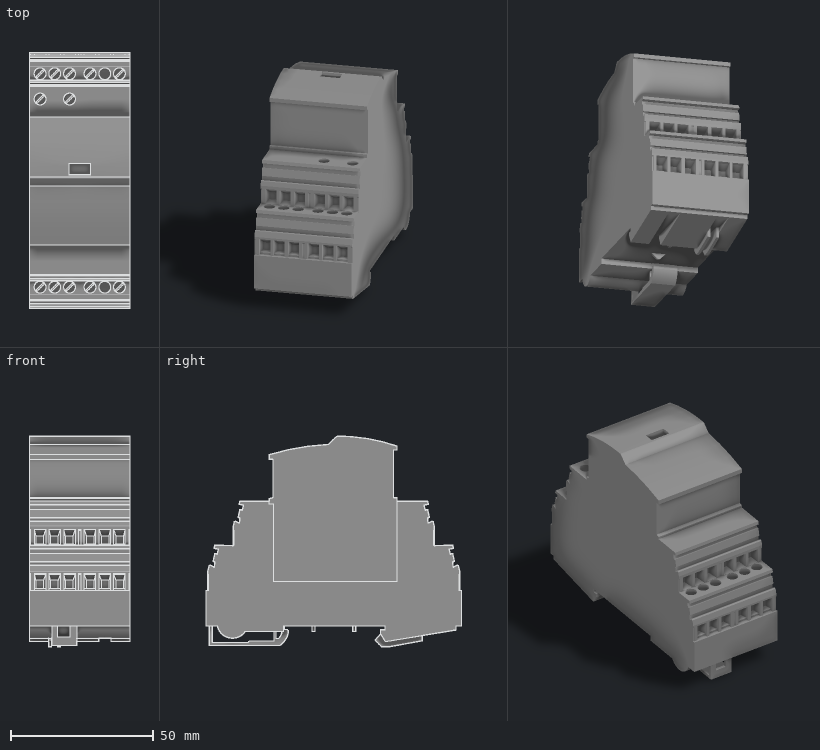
import cadquery as cq
import math

WIDTH = 35.4
HALF_LENGTH = 45.0

LOWER_TERRACE_Z = 28.4
TERRACE_RISE = 15.5
UPPER_TERRACE_Z = LOWER_TERRACE_Z + TERRACE_RISE
BASE_STEP_Z = 12.5
TERRACE_EDGE_Y = 41.85
TERRACE_SETBACK = 8.8
LOWER_WALL_Y = 44.4
UPPER_WALL_Y = 35.4
LOWER_WALL_TOP_Z = 19.2
UPPER_WALL_TOP_Z = 35.1
TERRACE_CREASE_Y = 40.05
TERRACE_FALL = 0.135

TERMINAL_XS = (3.6, 8.8, 13.95)
TERMINAL_WIDTH = 4.05
FUNNEL_END_WIDTH = 2.7
FUNNEL_END_SHIFT = 0.135
FUNNEL_DEPTH = 3.6
UPPER_ENTRY_TOP_Z = 34.0
LOWER_ENTRY_TOP_Z = 18.45
UPPER_FUNNEL_END_Z = (28.9, 31.7)
LOWER_FUNNEL_END_Z = (13.2, 16.1)
LOWER_ENTRY_DEPTH = 1.1
RECESS_TOP_FALL = 0.4
SLIT_HALF_WIDTH = 0.45
SLIT_DEPTH = 0.3

SCREW_HOLE_DIAMETER = 4.1
SCREW_HOLE_DEPTH = 4.5
LOWER_SCREW_Y = 37.5
UPPER_SCREW_Y = 28.6
UPPER_SCREW_XS = (-13.95, -3.6)
SCREW_SLOT_WIDTH = 0.5
SCREW_SLOT_DEPTH = 0.5
SCREW_SLOT_ANGLE = 45
PLAIN_SCREW_X = 8.8

FOOT_BOTTOM_Z = -2.0
FOOT_INNER_Y = -17.6
FIXED_HOOK_BACK_Y = 43.0
FIXED_HOOK_TIP_Y = 16.4
HOOK_SLOT_X = 8.8
HOOK_SLOT_WIDTH = 4.2
HOOK_SLOT_TOP_Z = -1.4
PRONG_WIDTH = 1.1
PRONG_BACK_Y = 31.1
PRONG_BOTTOM_Z = -7.3
RIB_YS = (7.2, -7.1)
RIB_WIDTH = 1.1
RIB_HEIGHT = 2.0
RIB_TIP_LENGTH = 1.1

MODULE_TOP_Z = 66.8
MODULE_BOTTOM_Z = 15.6
MODULE_BACK_Y = 22.3
MODULE_FRONT_Y = -22.7
MODULE_WAIST_BOTTOM_Z = 45.2
BODY_FRONT_Y = -21.4
BODY_BACK_Y = 21.1
STEM_FRONT_Y = -21.15
POCKET_LENGTH_X = 7.5
POCKET_BACK_Y = 5.9
POCKET_FRONT_Y = 1.9
POCKET_BOTTOM_Z = 62.1

LATCH_X_MIN = -9.8
LATCH_WIDTH = 8.8
LATCH_BOTTOM_Z = -6.9
LATCH_FRONT_Y = -43.8
LATCH_FRONT_THICKNESS = 1.2
LATCH_WINDOW_X_MIN = -7.7
LATCH_WINDOW_WIDTH = 4.2
LATCH_WINDOW_BOTTOM_Z = -3.8


def extrude_along_x(profile, x_min, width):
    """Extrude a closed (Y, Z) profile from x_min over the given width."""
    return profile.extrude(width).translate((x_min, 0, 0))


def box(x_range, y_range, z_range):
    """A box given by its limits on each axis."""
    limits = (x_range, y_range, z_range)
    sizes = [high - low for low, high in limits]
    return cq.Workplane("XY").box(*sizes, centered=False).translate([low for low, high in limits])


def grooved_edge(edge_y, top_z):
    """Points down the grooved front of a terminal step, starting at the terrace edge."""
    offsets = [
        (0.0, 0.0), (0.3, -1.2), (-1.3, -1.4), (-0.8, -3.15), (0.0, -2.9),
        (0.6, -5.8), (0.0, -5.9), (0.2, -7.7), (1.4, -7.0), (2.0, -7.2),
    ]
    return [(edge_y + dy, top_z + dz) for dy, dz in offsets]


def end_outline():
    """Points of one stepped end, from the upper terrace down to the rail seat level."""
    upper_edge_y = TERRACE_EDGE_Y - TERRACE_SETBACK
    return [
        *grooved_edge(upper_edge_y, UPPER_TERRACE_Z),
        (UPPER_WALL_Y, UPPER_WALL_TOP_Z),
        (UPPER_WALL_Y, LOWER_TERRACE_Z - TERRACE_FALL),
        (TERRACE_CREASE_Y, LOWER_TERRACE_Z),
        *grooved_edge(TERRACE_EDGE_Y, LOWER_TERRACE_Z),
        (LOWER_WALL_Y, LOWER_WALL_TOP_Z),
        (LOWER_WALL_Y, BASE_STEP_Z),
        (HALF_LENGTH, BASE_STEP_Z),
        (HALF_LENGTH, 0),
    ]


def housing_blank():
    """The housing outline, with its fixed rail hook and rounded foot, over the full width."""
    back_end = end_outline()
    front_end = [(-y, z) for y, z in reversed(back_end)]
    fixed_hook = [
        (FIXED_HOOK_BACK_Y, 0), (FIXED_HOOK_BACK_Y, HOOK_SLOT_TOP_Z), (18.2, -5.5),
        (FIXED_HOOK_TIP_Y, -2.6), (FIXED_HOOK_TIP_Y, -1.3), (18.0, -1.3), (18.0, 0),
    ]
    profile = (
        cq.Workplane("YZ")
        .polyline(back_end + fixed_hook)
        .lineTo(FOOT_INNER_Y, 0)
        .lineTo(FOOT_INNER_Y, FOOT_BOTTOM_Z)
        .lineTo(-31.1, FOOT_BOTTOM_Z)
        .threePointArc((-35.6, -4.3), (-40.95, 0))
    )
    for point in front_end:
        profile = profile.lineTo(*point)
    return extrude_along_x(profile.close(), -WIDTH / 2, WIDTH)


def funnel(side, x, wall_y, depth, mouth_z, end_z):
    """A wire entry narrowing inwards from wall_y; mouth_z and end_z are (bottom, top)."""
    end_shift = math.copysign(FUNNEL_END_SHIFT, x)
    mouth_middle = sum(mouth_z) / 2
    end_middle = sum(end_z) / 2
    inward = cq.Plane(origin=(0, side * wall_y, 0), xDir=(side, 0, 0), normal=(0, -side, 0))
    return (
        cq.Workplane(inward)
        .center(side * x, mouth_middle)
        .rect(TERMINAL_WIDTH, mouth_z[1] - mouth_z[0])
        .workplane(offset=depth)
        .center(side * end_shift, end_middle - mouth_middle)
        .rect(FUNNEL_END_WIDTH, end_z[1] - end_z[0])
        .loft(ruled=True)
    )


def wall_recess(side, x, width, depth, wall_y, bottom_z, top_z):
    """A shallow recess in an end wall whose ceiling falls inwards."""
    profile = cq.Workplane("YZ").polyline([
        (side * wall_y, bottom_z),
        (side * wall_y, top_z),
        (side * (wall_y - depth), top_z - RECESS_TOP_FALL),
        (side * (wall_y - depth), bottom_z),
    ]).close()
    return extrude_along_x(profile, x - width / 2, width)


def screw_hole(x, y, top_z):
    """A blind screw hole with a slotted bottom, or a flat one at PLAIN_SCREW_X."""
    bottom_z = top_z - SCREW_HOLE_DEPTH
    floor = cq.Workplane("XY", origin=(x, y, bottom_z))
    hole = floor.circle(SCREW_HOLE_DIAMETER / 2).extrude(SCREW_HOLE_DEPTH)
    if x == PLAIN_SCREW_X:
        return hole
    slot = (
        floor.transformed(rotate=(0, 0, SCREW_SLOT_ANGLE))
        .rect(SCREW_HOLE_DIAMETER - SCREW_SLOT_WIDTH, SCREW_SLOT_WIDTH)
        .extrude(-SCREW_SLOT_DEPTH)
    )
    return hole.union(slot)


def cut_terminals(body):
    """Cut the wire entries, dividing slits and screw holes into both ends."""
    terminal_xs = [sign * x for sign in (-1, 1) for x in TERMINAL_XS]
    slit_xs = (-WIDTH / 2, 0, WIDTH / 2)
    walls = (
        (UPPER_WALL_Y, LOWER_TERRACE_Z, UPPER_ENTRY_TOP_Z),
        (LOWER_WALL_Y, BASE_STEP_Z, LOWER_ENTRY_TOP_Z),
    )
    lower_mouth_z = (LOWER_FUNNEL_END_Z[0], LOWER_ENTRY_TOP_Z - RECESS_TOP_FALL)
    lower_mouth_y = LOWER_WALL_Y - LOWER_ENTRY_DEPTH
    lower_depth = FUNNEL_DEPTH - LOWER_ENTRY_DEPTH
    upper_mouth_z = (LOWER_TERRACE_Z, UPPER_ENTRY_TOP_Z)
    for side in (-1, 1):
        for x in terminal_xs:
            body = body.cut(funnel(side, x, UPPER_WALL_Y, FUNNEL_DEPTH, upper_mouth_z, UPPER_FUNNEL_END_Z))
            body = body.cut(wall_recess(side, x, TERMINAL_WIDTH, LOWER_ENTRY_DEPTH, *walls[1]))
            body = body.cut(funnel(side, x, lower_mouth_y, lower_depth, lower_mouth_z, LOWER_FUNNEL_END_Z))
            body = body.cut(screw_hole(x, side * LOWER_SCREW_Y, LOWER_TERRACE_Z))
        for x in slit_xs:
            for wall in walls:
                body = body.cut(wall_recess(side, x, 2 * SLIT_HALF_WIDTH, SLIT_DEPTH, *wall))
    for x in UPPER_SCREW_XS:
        body = body.cut(screw_hole(x, UPPER_SCREW_Y, UPPER_TERRACE_Z))
    return body


def hook_prong(x_min):
    """One prong of the forked hook that stands below the fixed rail hook."""
    profile = cq.Workplane("YZ").polyline([
        (PRONG_BACK_Y, HOOK_SLOT_TOP_Z), (PRONG_BACK_Y, -5.2), (19.8, PRONG_BOTTOM_Z), (16.8, PRONG_BOTTOM_Z),
        (14.5, -4.95), (FIXED_HOOK_TIP_Y, -2.9), (FIXED_HOOK_TIP_Y, HOOK_SLOT_TOP_Z),
    ]).close()
    return extrude_along_x(profile, x_min, PRONG_WIDTH)


def finish_fixed_hook(body):
    """Slot the fixed rail hook twice and set a pair of prongs in the -X slot."""
    half_width = HOOK_SLOT_WIDTH / 2
    slot_y = (FIXED_HOOK_TIP_Y, FIXED_HOOK_BACK_Y)
    slot_z = (PRONG_BOTTOM_Z, HOOK_SLOT_TOP_Z)
    for x in (-HOOK_SLOT_X, HOOK_SLOT_X):
        body = body.cut(box((x - half_width, x + half_width), slot_y, slot_z))
    for x_min in (-HOOK_SLOT_X - half_width, -HOOK_SLOT_X + half_width - PRONG_WIDTH):
        body = body.union(hook_prong(x_min))
    return body


def add_seat_ribs(body):
    """Add the small ribs with sloping ends under the rail seat."""
    tip = RIB_TIP_LENGTH / 2
    root = tip + RIB_HEIGHT
    for y in RIB_YS:
        rib = (
            cq.Workplane("XZ")
            .polyline([(-root, 0), (root, 0), (tip, -RIB_HEIGHT), (-tip, -RIB_HEIGHT)])
            .close()
            .extrude(RIB_WIDTH / 2, both=True)
            .translate((0, y, 0))
        )
        body = body.union(rib)
    return body


def make_housing(module_blank):
    """The stepped terminal housing with the socket for the module."""
    body = cut_terminals(housing_blank().cut(module_blank))
    return add_seat_ribs(finish_fixed_hook(body))


def make_module_blank():
    """The module without its top pocket; this is also the shape of the socket."""
    profile = (
        cq.Workplane("YZ")
        .moveTo(MODULE_BACK_Y, MODULE_BOTTOM_Z)
        .lineTo(MODULE_BACK_Y, MODULE_WAIST_BOTTOM_Z)
        .lineTo(BODY_BACK_Y, MODULE_WAIST_BOTTOM_Z)
        .lineTo(BODY_BACK_Y, 61.8)
        .lineTo(MODULE_BACK_Y, 61.8)
        .lineTo(MODULE_BACK_Y, 63.3)
        .threePointArc((11.2, 66.1), (1.3, MODULE_TOP_Z))
        .lineTo(0.9, 66.6)
        .lineTo(-1.9, 63.9)
        .threePointArc((-11.9, 62.8), (MODULE_FRONT_Y, 60.3))
        .lineTo(MODULE_FRONT_Y, 58.6)
        .lineTo(BODY_FRONT_Y, 58.6)
        .lineTo(BODY_FRONT_Y, MODULE_WAIST_BOTTOM_Z)
        .lineTo(MODULE_FRONT_Y, 44.8)
        .lineTo(MODULE_FRONT_Y, 42.8)
        .lineTo(STEM_FRONT_Y, 42.8)
        .lineTo(STEM_FRONT_Y, MODULE_BOTTOM_Z)
        .close()
    )
    return extrude_along_x(profile, -WIDTH / 2, WIDTH)


def cut_top_pocket(body):
    """Cut the rectangular pocket behind the ridge of the module."""
    half_length = POCKET_LENGTH_X / 2
    pocket = box(
        (-half_length, half_length),
        (POCKET_FRONT_Y, POCKET_BACK_Y),
        (POCKET_BOTTOM_Z, MODULE_TOP_Z),
    )
    return body.cut(pocket)


def make_latch():
    """The latch frame with its rail hook, hanging under the front foot."""
    profile = (
        cq.Workplane("YZ")
        .moveTo(FOOT_INNER_Y, 0)
        .lineTo(-17.4, 0)
        .lineTo(-17.4, -1.2)
        .lineTo(-16.5, -1.2)
        .lineTo(-15.9, -1.6)
        .lineTo(-15.9, -2.3)
        .threePointArc((-16.9, -4.8), (-19.0, LATCH_BOTTOM_Z))
        .lineTo(LATCH_FRONT_Y, LATCH_BOTTOM_Z)
        .lineTo(LATCH_FRONT_Y, 0)
        .lineTo(LATCH_FRONT_Y + LATCH_FRONT_THICKNESS, 0)
        .lineTo(LATCH_FRONT_Y + LATCH_FRONT_THICKNESS, -5.8)
        .lineTo(-30.15, -5.8)
        .lineTo(-29.7, -5.2)
        .lineTo(-21.1, -5.2)
        .lineTo(-21.1, FOOT_BOTTOM_Z)
        .lineTo(-20.25, FOOT_BOTTOM_Z)
        .lineTo(-20.25, -4.3)
        .lineTo(-19.35, -4.3)
        .threePointArc((-18.6, -3.2), (-18.2, FOOT_BOTTOM_Z))
        .lineTo(FOOT_INNER_Y, FOOT_BOTTOM_Z)
        .close()
    )
    window = box(
        (LATCH_WINDOW_X_MIN, LATCH_WINDOW_X_MIN + LATCH_WINDOW_WIDTH),
        (LATCH_FRONT_Y, LATCH_FRONT_Y + LATCH_FRONT_THICKNESS),
        (LATCH_WINDOW_BOTTOM_Z, 0),
    )
    return extrude_along_x(profile, LATCH_X_MIN, LATCH_WIDTH).cut(window)


module_blank = make_module_blank()
housing = make_housing(module_blank)
module = cut_top_pocket(module_blank)
latch = make_latch()

result = cq.Compound.makeCompound([housing.val(), module.val(), latch.val()])